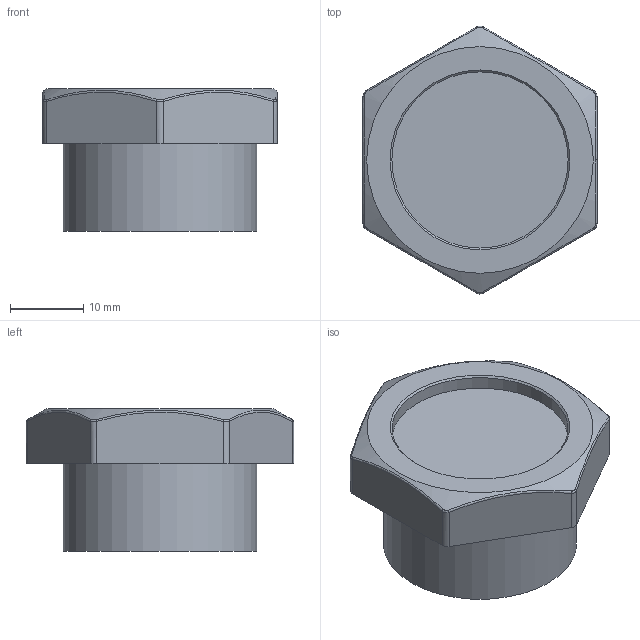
import cadquery as cq
import math

side_count = 6
across_flats = 32.0
head_height = 7.5
corner_radius = 1.0

top_face_diameter = 31.0
chamfer_angle = 30.0
chamfer_edge_radius = 0.3

shank_diameter = 26.44
shank_length = 12.0

recess_diameter = 24.1
recess_depth = 2.0
recess_rim_chamfer = 0.25

total_height = shank_length + head_height
half_side_angle = 180 / side_count
across_corners = across_flats / math.cos(math.radians(half_side_angle))


def make_chamfer_envelope():
    """Cylinder with a conical top that trims the upper corners of the head."""
    top_radius = top_face_diameter / 2
    outer_radius = across_corners / 2
    chamfer_drop = (outer_radius - top_radius) * math.tan(math.radians(chamfer_angle))
    half_profile = [
        (0, shank_length),
        (outer_radius, shank_length),
        (outer_radius, total_height - chamfer_drop),
        (top_radius, total_height),
        (0, total_height),
    ]
    return cq.Workplane("XZ").polyline(half_profile).close().revolve(360, (0, 0), (0, 1))


def make_head():
    """Hexagonal head with rounded corners and a softened conical chamfer."""
    prism = (
        cq.Workplane("XY", origin=(0, 0, shank_length))
        .transformed(rotate=(0, 0, half_side_angle))
        .polygon(side_count, across_corners)
        .extrude(head_height)
        .edges("|Z")
        .fillet(corner_radius)
    )
    head = prism.intersect(make_chamfer_envelope())
    return head.faces("<X").edges(">Z").fillet(chamfer_edge_radius)


def make_shank():
    """Plain cylindrical shank."""
    return cq.Workplane("XY").circle(shank_diameter / 2).extrude(shank_length)


def cut_recess(body):
    """Cut the round recess and chamfer its rim."""
    recessed = (
        body.faces(">Z")
        .workplane(origin=(0, 0, total_height))
        .circle(recess_diameter / 2)
        .cutBlind(-recess_depth)
    )
    rim = recessed.faces(">Z").edges(cq.selectors.RadiusNthSelector(0))
    return rim.chamfer(recess_rim_chamfer)


result = cut_recess(make_head().union(make_shank()))